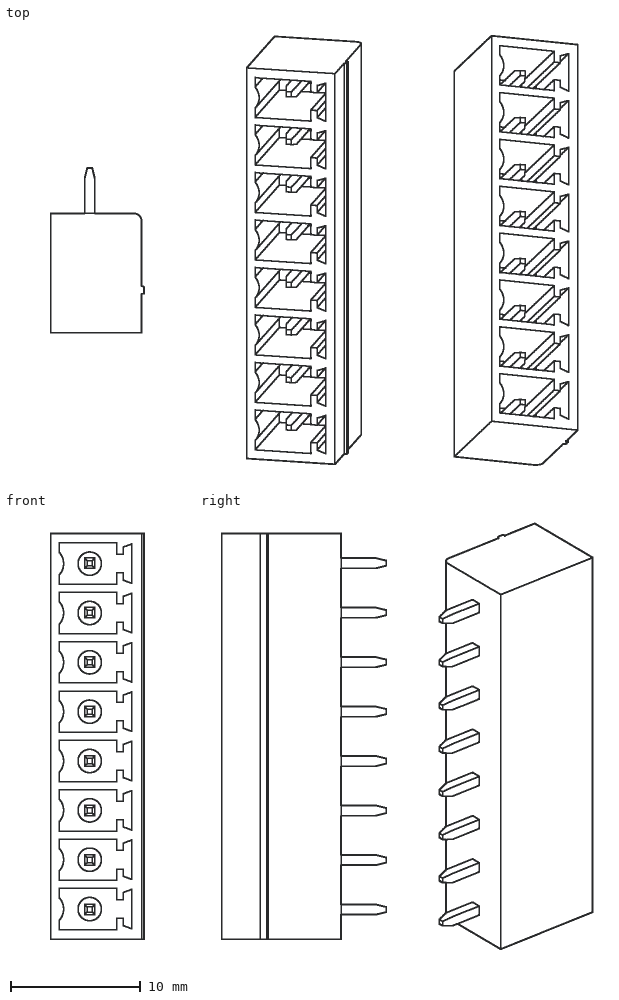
import cadquery as cq
pin_count = 8
pin_pitch = 3.81
cavity_pitch = 3.8

body_width = 7.0
body_depth = 9.2
body_height = 31.27
left_x = -3.0
right_x = left_x + body_width
front_y = 0.0
rear_y = front_y + body_depth
rear_corner_radius = 0.6

ridge_projection = 0.2
ridge_width = 0.6
ridge_start = 3.0
ridge_chamfer = 0.1

cavity_depth = 8.0
cavity_height = 3.18
left_wall = 0.67
cavity_left_x = left_x + left_wall
cavity_width = 4.41
cavity_right_x = cavity_left_x + cavity_width
rib_height = 1.7
rib_depth = 0.32

neck_length = 0.5
neck_height = 1.43
recess_left_x = cavity_right_x + neck_length
recess_width = 0.67
recess_right_x = recess_left_x + recess_width
recess_left_height = 2.55
recess_right_height = 3.04

collar_radius = 0.9
collar_depth = 0.3

pin_side = 0.8
pin_tip_side = 0.4
pin_taper = 0.82
pin_rear_length = 3.5
pin_front_y = 1.4
pin_rear_y = rear_y + pin_rear_length


def row_heights(pitch):
    return [(row - (pin_count - 1) / 2) * pitch for row in range(pin_count)]


def make_body():
    body = cq.Workplane("XY").box(
        body_width, body_depth, body_height, centered=(False, False, True)
    )
    body = body.translate((left_x, front_y, 0))
    return body.edges("|Z and >X and >Y").fillet(rear_corner_radius)


def make_ridge():
    start_y = front_y + ridge_start
    end_y = start_y + ridge_width
    outer_x = right_x + ridge_projection
    return (
        cq.Workplane("XY")
        .workplane(offset=-body_height / 2)
        .moveTo(right_x, start_y)
        .lineTo(outer_x, start_y)
        .lineTo(outer_x, end_y - ridge_chamfer)
        .lineTo(outer_x - ridge_chamfer, end_y)
        .lineTo(right_x, end_y)
        .close()
        .extrude(body_height)
    )


def make_cavity(row_z):
    plane = cq.Workplane("XZ", origin=(0, front_y, row_z))
    outline = (
        plane.moveTo(cavity_left_x, cavity_height / 2)
        .lineTo(cavity_right_x, cavity_height / 2)
        .lineTo(cavity_right_x, neck_height / 2)
        .lineTo(recess_left_x, neck_height / 2)
        .lineTo(recess_left_x, recess_left_height / 2)
        .lineTo(recess_right_x, recess_right_height / 2)
        .lineTo(recess_right_x, -recess_right_height / 2)
        .lineTo(recess_left_x, -recess_left_height / 2)
        .lineTo(recess_left_x, -neck_height / 2)
        .lineTo(cavity_right_x, -neck_height / 2)
        .lineTo(cavity_right_x, -cavity_height / 2)
        .lineTo(cavity_left_x, -cavity_height / 2)
        .lineTo(cavity_left_x, -rib_height / 2)
        .threePointArc((cavity_left_x + rib_depth, 0), (cavity_left_x, rib_height / 2))
        .close()
    )
    cavity = outline.extrude(-cavity_depth)
    collar = (
        cq.Workplane("XZ", origin=(0, front_y + cavity_depth, row_z))
        .circle(collar_radius)
        .extrude(-collar_depth)
    )
    return cavity.union(collar)


def make_pin_taper(base_y, tip_y, row_z):
    return (
        cq.Workplane("XZ", origin=(0, base_y, row_z))
        .rect(pin_side, pin_side)
        .workplane(offset=base_y - tip_y)
        .rect(pin_tip_side, pin_tip_side)
        .loft(ruled=True)
    )


def make_pin(row_z):
    shank_front_y = pin_front_y + pin_taper
    shank_rear_y = pin_rear_y - pin_taper
    shank = (
        cq.Workplane("XZ", origin=(0, shank_front_y, row_z))
        .rect(pin_side, pin_side)
        .extrude(shank_front_y - shank_rear_y)
    )
    front_tip = make_pin_taper(shank_front_y, pin_front_y, row_z)
    rear_tip = make_pin_taper(shank_rear_y, pin_rear_y, row_z)
    return shank.union(front_tip).union(rear_tip)


housing = make_body().union(make_ridge())
for row_z in row_heights(cavity_pitch):
    housing = housing.cut(make_cavity(row_z))
for row_z in row_heights(pin_pitch):
    housing = housing.union(make_pin(row_z))

result = housing